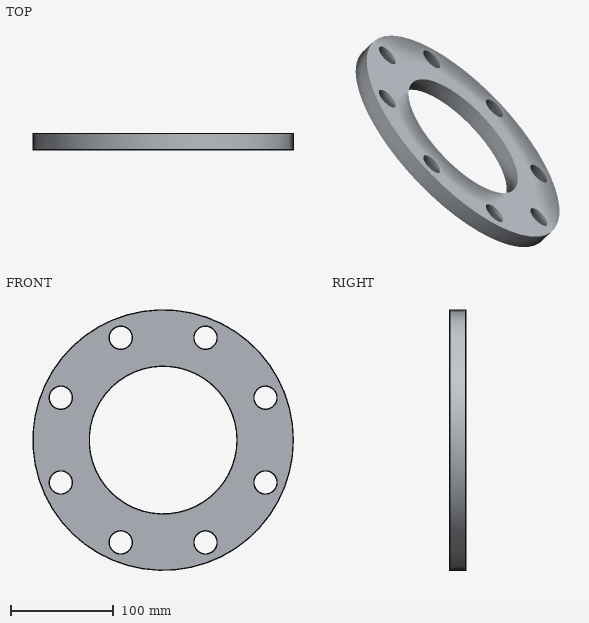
import cadquery as cq

outer_diameter = 254.0
bore_diameter = 143.8
thickness = 16.0
bolt_circle_diameter = 216.0
bolt_hole_diameter = 22.4
bolt_hole_count = 8

bolt_pitch_angle = 360 / bolt_hole_count
first_bolt_angle = bolt_pitch_angle / 2

ring = (
    cq.Workplane("XZ")
    .circle(outer_diameter / 2)
    .circle(bore_diameter / 2)
    .extrude(thickness)
)

bolt_holes = (
    cq.Workplane("XZ")
    .polarArray(bolt_circle_diameter / 2, first_bolt_angle, 360, bolt_hole_count)
    .circle(bolt_hole_diameter / 2)
    .extrude(thickness)
)

result = ring.cut(bolt_holes)